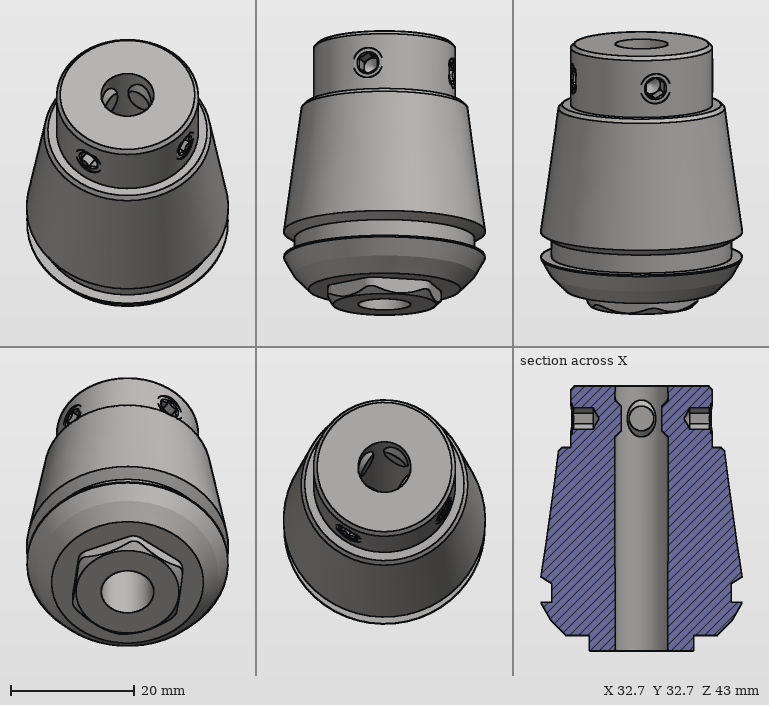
import cadquery as cq
import math

total_height = 43.0
hex_top = 2.55
lower_bevel_top = 4.95
rim_bottom = 7.7
rim_top = 7.95
neck_top = 10.92
taper_bottom = 12.05
shoulder = 33.02

rim_diameter = 32.6
neck_diameter = 29.2
taper_bottom_diameter = 32.72
taper_top_diameter = 27.0
collar_diameter = 23.0
bore_diameter = 8.5
edge_chamfer = 0.6
rim_bevel_angle = 30.0

hex_across_flats = 17.0
hex_corner_radius = 2.05
hex_bottom_diameter = 16.7
hex_chamfer_diameter = 19.1

screw_count = 4
screw_height = 37.7
screw_hole_diameter = 4.9
screw_face_distance = 11.25
screw_tip_distance = 3.25
screw_thread_diameter = 6.0
screw_tip_diameter = 4.0
socket_across_flats = 3.0
socket_depth = 3.5
socket_mouth_diameter = 3.6
socket_point_angle = 120.0
overlap = 0.45


def hexagon(across_flats):
    """Closed hexagon sketch with two corners on the local X axis."""
    return cq.Workplane("XY").polygon(6, across_flats / math.cos(math.radians(30)))


def cone(bottom_radius, top_radius, height, base):
    """Vertical cone whose first circle lies at the given height."""
    return cq.Workplane(cq.Solid.makeCone(bottom_radius, top_radius, height, cq.Vector(0, 0, base)))


def turned_body():
    """Solid of revolution above the hexagon: bevels, rim, neck, taper and collar."""
    rim_radius = rim_diameter / 2
    neck_radius = neck_diameter / 2
    collar_radius = collar_diameter / 2
    taper_top_radius = taper_top_diameter / 2
    bevel_radius = rim_radius - (rim_bottom - lower_bevel_top) * math.tan(math.radians(rim_bevel_angle))
    base_radius = bevel_radius - (lower_bevel_top - hex_top)
    profile = [
        (0, hex_top),
        (base_radius, hex_top),
        (bevel_radius, lower_bevel_top),
        (rim_radius, rim_bottom),
        (rim_radius, rim_top),
        (neck_radius, rim_top),
        (neck_radius, neck_top),
        (taper_bottom_diameter / 2, taper_bottom),
        (taper_top_radius, shoulder - edge_chamfer),
        (taper_top_radius - edge_chamfer, shoulder),
        (collar_radius, shoulder),
        (collar_radius, total_height - edge_chamfer),
        (collar_radius - edge_chamfer, total_height),
        (0, total_height),
    ]
    return cq.Workplane("XZ").polyline(profile).close().revolve(360, (0, 0), (0, 1))


def hex_nut():
    """Hexagon with rounded corners, turned to a 45 degree chamfer at the bottom."""
    nut = hexagon(hex_across_flats).extrude(hex_top).edges("|Z").fillet(hex_corner_radius)
    chamfer_height = (hex_chamfer_diameter - hex_bottom_diameter) / 2
    envelope = cone(hex_bottom_diameter / 2, hex_chamfer_diameter / 2, chamfer_height, 0)
    upper = (
        cq.Workplane("XY")
        .workplane(offset=chamfer_height)
        .circle(hex_chamfer_diameter / 2)
        .extrude(hex_top - chamfer_height)
    )
    return nut.intersect(envelope.union(upper))


def screw_recess():
    """Space above a screw face and its hexagon socket, along local Z from the body axis."""
    hole = (
        cq.Workplane("XY")
        .workplane(offset=screw_face_distance)
        .circle(screw_hole_diameter / 2)
        .extrude(collar_diameter / 2 - screw_face_distance + overlap)
    )
    socket_floor = screw_face_distance - socket_depth
    socket = hexagon(socket_across_flats).extrude(socket_depth).translate((0, 0, socket_floor))
    mouth_radius = socket_mouth_diameter / 2
    mouth = cone(0, mouth_radius, mouth_radius, screw_face_distance - mouth_radius)
    point_radius = socket_across_flats / 2
    point_depth = point_radius / math.tan(math.radians(socket_point_angle / 2))
    point = cone(0, point_radius, point_depth, socket_floor - point_depth)
    return hole.union(socket).union(mouth).union(point)


def screw_tip():
    """Flat 45 degree screw point that stands out into the bore, along local Z."""
    tip_radius = screw_tip_diameter / 2
    thread_radius = screw_thread_diameter / 2
    point_height = thread_radius - tip_radius
    point = cone(tip_radius, thread_radius, point_height, screw_tip_distance)
    body_start = screw_tip_distance + point_height
    body = (
        cq.Workplane("XY")
        .workplane(offset=body_start)
        .circle(thread_radius)
        .extrude(bore_diameter / 2 + overlap - body_start)
    )
    return point.union(body)


def around_collar(shape):
    """Copies of a shape built on local Z, laid radially around the collar."""
    laid = shape.rotate((0, 0, 0), (0, 1, 0), 90).translate((0, 0, screw_height))
    step = 360 / screw_count
    return [laid.rotate((0, 0, 0), (0, 0, 1), i * step) for i in range(screw_count)]


bore = cq.Workplane("XY").circle(bore_diameter / 2).extrude(total_height)
result = turned_body().union(hex_nut()).cut(bore)
for tip in around_collar(screw_tip()):
    result = result.union(tip)
for recess in around_collar(screw_recess()):
    result = result.cut(recess)